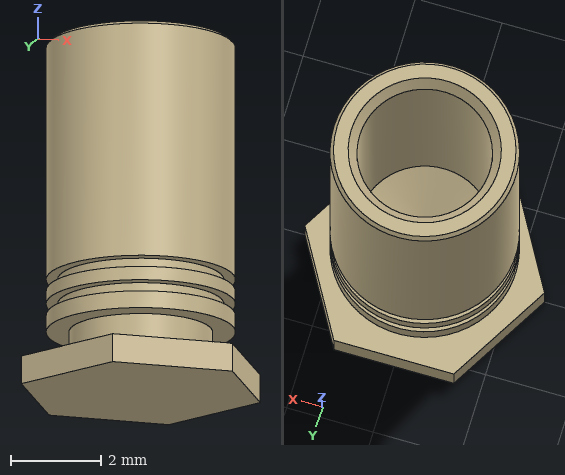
import cadquery as cq
import math

total_height = 8.0
hex_across_flats = 4.8
hex_across_corners = hex_across_flats / math.cos(math.radians(30))

body_diameter = 4.2
groove_diameter = 3.69
neck_diameter = 3.18

flange_top = 0.64
neck_top = 1.4
lower_groove = (1.78, 2.04)
upper_groove = (2.34, 2.6)
rim_chamfer = 0.08

bore_diameter = 3.0
mouth_diameter = 3.39
mouth_depth = (mouth_diameter - bore_diameter) / 2
drill_point_angle = 118.0
bore_floor = 2.6
drill_point_depth = bore_diameter / 2 / math.tan(math.radians(drill_point_angle / 2))


def cylinder(diameter, bottom, top):
    """Upright cylinder on the Z axis between two heights."""
    return cq.Workplane("XY").workplane(offset=bottom).circle(diameter / 2).extrude(top - bottom)


def groove(bottom, top):
    """Ring that cuts a groove into the outside of the body."""
    return cylinder(body_diameter, bottom, top).cut(cylinder(groove_diameter, bottom, top))


def bore():
    """Revolved cutter for the bore, its countersink and its pointed floor."""
    bore_radius = bore_diameter / 2
    profile = [
        (0, bore_floor - drill_point_depth),
        (bore_radius, bore_floor),
        (bore_radius, total_height - mouth_depth),
        (mouth_diameter / 2, total_height),
        (0, total_height),
    ]
    return cq.Workplane("XZ").polyline(profile).close().revolve(360, (0, 0), (0, 1))


flange = cq.Workplane("XY").polygon(6, hex_across_corners).extrude(flange_top)
neck = cylinder(neck_diameter, flange_top, neck_top)
body = cylinder(body_diameter, neck_top, total_height).faces(">Z").edges().chamfer(rim_chamfer)

for groove_bottom, groove_top in (lower_groove, upper_groove):
    body = body.cut(groove(groove_bottom, groove_top))

result = flange.union(neck).union(body).cut(bore())